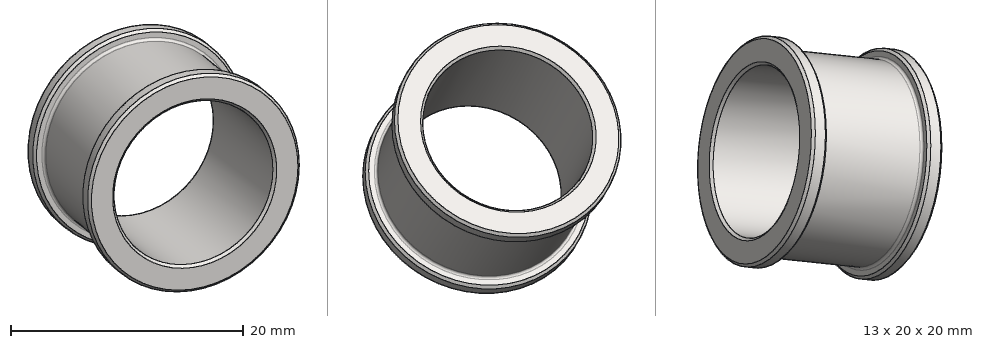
import cadquery as cq

length = 13.0
flange_diameter = 20.0
barrel_diameter = 18.0
bore_diameter = 15.0
flange_width = 1.5
edge_chamfer = 0.25
root_fillet = 0.25

half_length = length / 2
flange_inner_x = half_length - flange_width


def cylinder(start_x, width, diameter):
    """Solid cylinder along X, running from start_x to start_x + width."""
    return cq.Workplane("YZ", origin=(start_x, 0, 0)).circle(diameter / 2).extrude(width)


def flange(start_x):
    """Flange disc with both rims chamfered."""
    return cylinder(start_x, flange_width, flange_diameter).edges("%CIRCLE").chamfer(edge_chamfer)


def spool():
    """Solid barrel with a flange at each end and filleted roots."""
    body = cylinder(-half_length, length, barrel_diameter)
    for start_x in (-half_length, flange_inner_x):
        body = body.union(flange(start_x))
    smallest_circles = body.edges(cq.selectors.RadiusNthSelector(0))
    return smallest_circles.fillet(root_fillet)


def cut_bore(body):
    """Through bore with chamfered mouths."""
    bored = body.cut(cylinder(-half_length, length, bore_diameter))
    mouths = bored.faces("<X or >X").edges(cq.selectors.RadiusNthSelector(0))
    return mouths.chamfer(edge_chamfer)


result = cut_bore(spool())